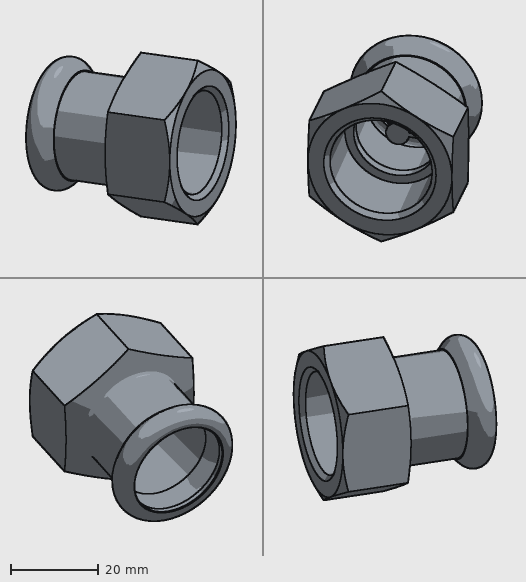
import cadquery as cq
import math

total_length = 38.8
hex_across_corners = 39.25
hex_across_flats = hex_across_corners * math.cos(math.radians(30))

tube_radius = 25.2 / 2
bead_radius = 2.95
bead_flank_angle = 45.0
bead_end_x = 6.87
bead_wall = 1.37
lip_radius = 23.3 / 2
lip_chamfer = 0.175

pipe_bore_radius = 22.2 / 2
pipe_stop_x = 20.2

front_bevel_angle = 15.0
rear_bevel_angle = 35.0
front_bevel_root_x = 21.0
root_fillet = 1.0

passage_radius = 20.0 / 2
thread_start_x = 22.77
thread_radius = 24.1 / 2
thread_mouth_radius = 26.5 / 2

disc_diameter = 5.55
arm_width = 1.05
disc_thickness = 1.0


def revolve_about_x(profile):
    """Turn a closed (x, radius) profile in the XY plane about the X axis."""
    return profile.close().revolve(360, (0, 0, 0), (1, 0, 0))


def make_socket():
    """Solid tube with the rolled bead."""
    flank = math.radians(bead_flank_angle)
    arc_end_x = bead_radius * (1 + math.sin(flank))
    arc_end_radius = tube_radius + bead_radius * math.cos(flank)
    flank_end_radius = arc_end_radius - (bead_end_x - arc_end_x) * math.tan(flank)
    profile = (
        cq.Workplane("XY")
        .lineTo(0, tube_radius)
        .threePointArc((bead_radius, tube_radius + bead_radius), (arc_end_x, arc_end_radius))
        .lineTo(bead_end_x, flank_end_radius)
        .lineTo(bead_end_x, tube_radius)
        .lineTo(thread_start_x, tube_radius)
        .lineTo(thread_start_x, 0)
    )
    return revolve_about_x(profile)


def make_hexagon():
    """Hexagon with corners on Z and conical bevels at both ends."""
    prism = (
        cq.Workplane("YZ", origin=(front_bevel_root_x, 0, 0))
        .transformed(rotate=(0, 0, 90))
        .polygon(6, hex_across_corners)
        .extrude(total_length - front_bevel_root_x)
    )
    corner_radius = hex_across_corners / 2
    front_run = (corner_radius - tube_radius) * math.tan(math.radians(front_bevel_angle))
    rear_run = (corner_radius - hex_across_flats / 2) * math.tan(math.radians(rear_bevel_angle))
    margin = 0.4
    front_margin = margin * math.tan(math.radians(front_bevel_angle))
    rear_margin = margin * math.tan(math.radians(rear_bevel_angle))
    envelope = (
        cq.Workplane("XY")
        .moveTo(front_bevel_root_x, 0)
        .lineTo(front_bevel_root_x, tube_radius)
        .lineTo(front_bevel_root_x + front_run + front_margin, corner_radius + margin)
        .lineTo(total_length - rear_run + rear_margin, corner_radius + margin)
        .lineTo(total_length, hex_across_flats / 2)
        .lineTo(total_length, 0)
    )
    return prism.intersect(revolve_about_x(envelope))


def make_root_fillet():
    """Ring blending the tube into the front bevel."""
    bevel = math.radians(front_bevel_angle)
    tangent_length = root_fillet * math.tan((math.pi / 2 - bevel) / 2)
    start_x = front_bevel_root_x - tangent_length
    centre_radius = tube_radius + root_fillet
    mid_angle = (math.pi / 2 - bevel) / 2
    overlap = 0.4
    profile = (
        cq.Workplane("XY")
        .moveTo(start_x, tube_radius)
        .threePointArc(
            (
                start_x + root_fillet * math.sin(mid_angle),
                centre_radius - root_fillet * math.cos(mid_angle),
            ),
            (
                front_bevel_root_x + tangent_length * math.sin(bevel),
                tube_radius + tangent_length * math.cos(bevel),
            ),
        )
        .lineTo(front_bevel_root_x + overlap, tube_radius)
        .lineTo(front_bevel_root_x + overlap, tube_radius - overlap)
        .lineTo(start_x, tube_radius - overlap)
    )
    return revolve_about_x(profile)


def make_cavity():
    """Everything hollow along the axis, from lip to threaded mouth."""
    flank = math.radians(bead_flank_angle)
    groove_radius = bead_radius - bead_wall
    groove_end_x = bead_radius + groove_radius * math.sin(flank)
    groove_end_radius = tube_radius + groove_radius * math.cos(flank)
    flank_end_x = groove_end_x + (groove_end_radius - pipe_bore_radius) / math.tan(flank)
    mouth_chamfer = thread_mouth_radius - thread_radius
    profile = (
        cq.Workplane("XY")
        .lineTo(0, lip_radius + lip_chamfer)
        .lineTo(lip_chamfer, lip_radius)
        .lineTo(bead_wall, lip_radius)
        .lineTo(bead_wall, tube_radius)
        .threePointArc(
            (bead_radius, tube_radius + groove_radius),
            (groove_end_x, groove_end_radius),
        )
        .lineTo(flank_end_x, pipe_bore_radius)
        .lineTo(pipe_stop_x, pipe_bore_radius)
        .lineTo(pipe_stop_x, passage_radius)
        .lineTo(thread_start_x, passage_radius)
        .lineTo(thread_start_x, thread_radius)
        .lineTo(total_length - mouth_chamfer, thread_radius)
        .lineTo(total_length, thread_mouth_radius)
        .lineTo(total_length, 0)
    )
    return revolve_about_x(profile)


def make_disc_and_arm():
    """Disc on the axis with its arm reaching into the +Y wall."""
    stop_plane = cq.Workplane("YZ", origin=(pipe_stop_x, 0, 0))
    arm_length = (passage_radius + pipe_bore_radius) / 2
    disc = stop_plane.circle(disc_diameter / 2).extrude(disc_thickness)
    arm = stop_plane.center(arm_length / 2, 0).rect(arm_length, arm_width).extrude(disc_thickness)
    return disc.union(arm)


body = make_socket().union(make_hexagon()).union(make_root_fillet())
result = body.cut(make_cavity()).union(make_disc_and_arm())